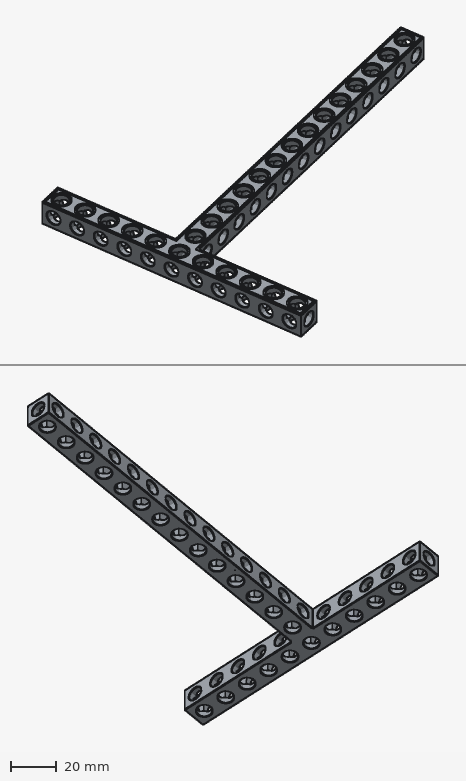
import cadquery as cq

LENGTH = 187.5
STEM_CELLS = 15
BAR_CELLS = 11
HOLE_DIAMETER = 7.0
RIM_DIAMETER = 9.2
EDGE_BREAK = 0.3
RIM_WIDTH = 1.1
RECESS_DEPTH = 0.2

CELL = LENGTH / STEM_CELLS
HALF_CELL = CELL / 2
BAR_LENGTH = BAR_CELLS * CELL

BAR_X = [(i - (BAR_CELLS - 1) / 2) * CELL for i in range(BAR_CELLS)]
STEM_Y = [i * CELL for i in range(1, STEM_CELLS)]
CELL_CENTRES = [(x, 0) for x in BAR_X] + [(0, y) for y in STEM_Y]


def tee(inset):
    """Closed T-shaped plan outline, moved inward by the inset."""
    half_width = HALF_CELL - inset
    half_bar = BAR_LENGTH / 2 - inset
    stem_end = LENGTH - HALF_CELL - inset
    right_side = [
        (half_bar, -half_width),
        (half_bar, half_width),
        (half_width, half_width),
        (half_width, stem_end),
    ]
    left_side = [(-x, y) for x, y in reversed(right_side)]
    return cq.Workplane("XY").polyline(right_side + left_side).close()


def beam():
    """T-shaped square beam with all its edges broken."""
    return tee(0).extrude(HALF_CELL, both=True).edges().chamfer(EDGE_BREAK)


def hole_tool(reach):
    """Through-hole cutter along Z whose chamfered mouths lie at +reach and -reach."""
    radius = HOLE_DIAMETER / 2
    mouth = radius + EDGE_BREAK
    neck = reach - EDGE_BREAK
    profile = [(0, -reach), (mouth, -reach), (radius, -neck), (radius, neck), (mouth, reach), (0, reach)]
    return cq.Workplane("XZ").polyline(profile).close().revolve(360, (0, 0), (0, 1))


def vertical_holes():
    """One hole along Z through every cell."""
    tool = hole_tool(HALF_CELL).val()
    return [tool.translate(cq.Vector(x, y, 0)) for x, y in CELL_CENTRES]


def holes_along_x():
    """A hole across each stem cell, and one bore through the whole crossbar."""
    across = hole_tool(HALF_CELL).rotate((0, 0, 0), (0, 1, 0), 90).val()
    bore = hole_tool(BAR_LENGTH / 2).rotate((0, 0, 0), (0, 1, 0), 90).val()
    return [bore] + [across.translate(cq.Vector(0, y, 0)) for y in STEM_Y]


def holes_along_y():
    """A hole across each side cell of the crossbar, and one bore through the whole stem."""
    across = hole_tool(HALF_CELL).rotate((0, 0, 0), (1, 0, 0), 90).val()
    bore = hole_tool(LENGTH / 2).rotate((0, 0, 0), (1, 0, 0), 90).val()
    bore = bore.translate(cq.Vector(0, LENGTH / 2 - HALF_CELL, 0))
    return [bore] + [across.translate(cq.Vector(x, 0, 0)) for x in BAR_X if x != 0]


def top_recess():
    """Shallow panel that leaves a flush rim along the edges and around the holes."""
    panel = tee(RIM_WIDTH).extrude(RECESS_DEPTH)
    rims = cq.Workplane("XY").pushPoints(CELL_CENTRES).circle(RIM_DIAMETER / 2).extrude(RECESS_DEPTH)
    return panel.cut(rims).translate((0, 0, HALF_CELL - RECESS_DEPTH))


result = beam().cut(top_recess())
for tools in (vertical_holes(), holes_along_x(), holes_along_y()):
    result = result.cut(cq.Workplane(cq.Compound.makeCompound(tools)))